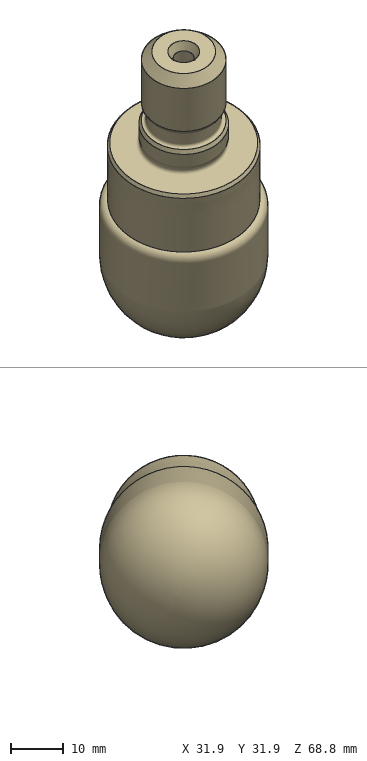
import cadquery as cq
import math

total_height = 68.8

cap_radius = 31.9 / 2
cap_top = 30.15

body_radius = 28.8 / 2
head_radius = 29.0 / 2
head_taper_bottom = 38.9
head_taper_top = 42.8
body_top = 44.9
head_chamfer_width = 0.5
head_chamfer_height = 0.7
socket_floor = cap_radius

band_radius = 17.0 / 2
undercut_radius = 16.6 / 2
flare_radius = 0.7
band_bottom = 46.8
undercut_angle = 15.0
undercut_blend = 0.7
band_top = 50.85
band_chamfer_height = 0.8

stud_radius = 16.0 / 2
groove_radius = 14.4 / 2
groove_fillet = 0.55
groove_blend = 0.55
stud_bottom = 55.6
groove_angle = 30.0
stud_chamfer = 2.0

drill_radius = 4.0 / 2
countersink_radius = 6.0 / 2
countersink_half_angle = 30.0
drill_depth = 5.5
drill_tip_half_angle = 59.0


def run_for_angle(width, angle):
    """Axial length of a cone whose side leans `angle` degrees off the axis."""
    return width / math.tan(math.radians(angle))


def fillet_point(corner_radius, corner_z, blend):
    """Middle of a quarter arc that joins a wall to the floor at its foot."""
    offset = blend * (1 - math.sqrt(0.5))
    return (corner_radius + offset, corner_z + offset)


def blend_cone_into_cylinder(sketch, radius, z, angle, blend):
    """Run down a cone, then an arc tangent to it and to the cylinder below."""
    lean = math.radians(angle)
    tangent = blend * math.tan(lean / 2)
    arc_center = (radius + blend, z - tangent)
    cone_end = (
        radius + tangent * math.sin(lean),
        z + tangent * math.cos(lean),
    )
    arc_middle = (
        arc_center[0] - blend * math.cos(lean / 2),
        arc_center[1] + blend * math.sin(lean / 2),
    )
    return sketch.lineTo(*cone_end).threePointArc(arc_middle, (radius, z - tangent))


def revolve_about_z(sketch):
    return sketch.close().revolve(360, (0, 0, 0), (0, 1, 0))


def make_cap():
    """Domed cap with a rounded rim and a flat-bottomed socket for the plug."""
    rim_radius = cap_radius - body_radius
    rim_offset = rim_radius * math.sqrt(0.5)
    dome_offset = cap_radius * math.sqrt(0.5)
    rim_center_z = cap_top - rim_radius
    profile = (
        cq.Workplane("XZ")
        .moveTo(0, 0)
        .threePointArc((dome_offset, cap_radius - dome_offset), (cap_radius, cap_radius))
        .lineTo(cap_radius, rim_center_z)
        .threePointArc((body_radius + rim_offset, rim_center_z + rim_offset), (body_radius, cap_top))
        .lineTo(body_radius, socket_floor)
        .lineTo(0, socket_floor)
    )
    return revolve_about_z(profile)


def make_plug_blank():
    """Stud, grooved neck and body, traced from the top down along the outside."""
    groove_top = stud_bottom - run_for_angle(stud_radius - groove_radius, groove_angle)
    undercut_top = band_bottom - run_for_angle(band_radius - undercut_radius, undercut_angle)

    profile = (
        cq.Workplane("XZ")
        .moveTo(0, total_height)
        .lineTo(stud_radius - stud_chamfer, total_height)
        .lineTo(stud_radius, total_height - stud_chamfer)
        .lineTo(stud_radius, stud_bottom)
    )
    profile = blend_cone_into_cylinder(profile, groove_radius, groove_top, groove_angle, groove_blend)
    profile = (
        profile.lineTo(groove_radius, band_top + groove_fillet)
        .threePointArc(
            fillet_point(groove_radius, band_top, groove_fillet),
            (groove_radius + groove_fillet, band_top),
        )
        .lineTo(stud_radius, band_top)
        .lineTo(band_radius, band_top - band_chamfer_height)
        .lineTo(band_radius, band_bottom)
    )
    profile = blend_cone_into_cylinder(
        profile, undercut_radius, undercut_top, undercut_angle, undercut_blend
    )
    profile = (
        profile.lineTo(undercut_radius, body_top + flare_radius)
        .threePointArc(
            fillet_point(undercut_radius, body_top, flare_radius),
            (undercut_radius + flare_radius, body_top),
        )
        .lineTo(head_radius - head_chamfer_width, body_top)
        .lineTo(head_radius, body_top - head_chamfer_height)
        .lineTo(head_radius, head_taper_top)
        .lineTo(body_radius, head_taper_bottom)
        .lineTo(body_radius, socket_floor)
        .lineTo(0, socket_floor)
    )
    return revolve_about_z(profile)


def make_center_drilling():
    """Countersunk blind hole with a conical drill tip."""
    countersink_depth = run_for_angle(countersink_radius - drill_radius, countersink_half_angle)
    tip_length = run_for_angle(drill_radius, drill_tip_half_angle)
    drill_bottom = total_height - drill_depth
    profile = (
        cq.Workplane("XZ")
        .moveTo(0, total_height)
        .lineTo(countersink_radius, total_height)
        .lineTo(drill_radius, total_height - countersink_depth)
        .lineTo(drill_radius, drill_bottom)
        .lineTo(0, drill_bottom - tip_length)
    )
    return revolve_about_z(profile)


cap = make_cap()
plug = make_plug_blank().cut(make_center_drilling())

result = cq.Compound.makeCompound([cap.val(), plug.solids().val()])